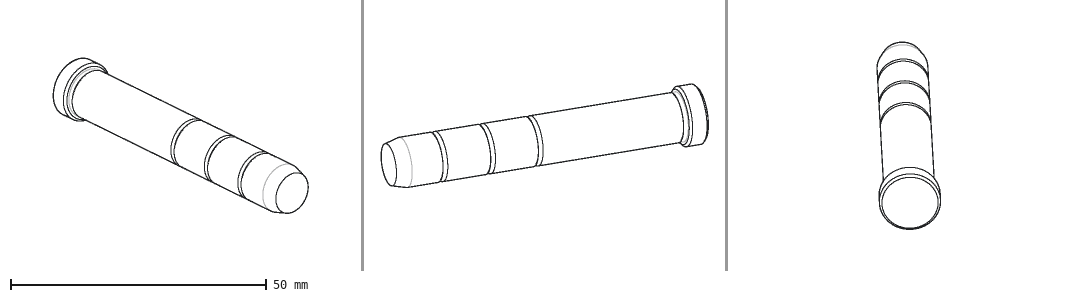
import cadquery as cq
import math

length = 65.0
head_diameter = 12.0
head_length = 4.0
head_chamfer = 0.5
shank_diameter = 10.0
tip_length = 3.0
tip_angle = 15.0

groove_width = 1.0
first_groove_start = 34.5
groove_pitch = 10.0
groove_count = 3

shank_radius = shank_diameter / 2
groove_radius = groove_width / 2


def make_head():
    head = cq.Workplane("YZ").circle(head_diameter / 2).extrude(head_length)
    return head.edges().chamfer(head_chamfer)


def make_shank():
    tip_radius = shank_radius - tip_length * math.tan(math.radians(tip_angle))
    half_profile = (
        cq.Workplane("XY")
        .lineTo(0, shank_radius)
        .lineTo(length - tip_length, shank_radius)
        .lineTo(length, tip_radius)
        .lineTo(length, 0)
        .close()
    )
    return half_profile.revolve(360, (0, 0, 0), (1, 0, 0))


def make_groove_ring(start):
    """Ring that cuts a half-round groove around the shank from X = start."""
    center = start + groove_radius
    section = cq.Workplane("XY").center(center, shank_radius).circle(groove_radius)
    return section.revolve(360, (0, -shank_radius, 0), (1, -shank_radius, 0))


groove_starts = [head_length]
for index in range(groove_count):
    groove_starts.append(first_groove_start + index * groove_pitch)

shank = make_shank()
for groove_start in groove_starts:
    shank = shank.cut(make_groove_ring(groove_start))

result = make_head().union(shank)